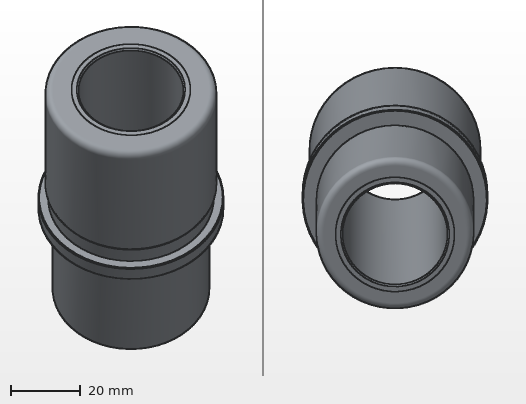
import cadquery as cq
import math

total_height = 90.0
flange_bottom = 37.0
flange_top = 42.0
neck_top = 47.0

upper_radius = 24.5
neck_radius = 23.75
flange_radius = 26.5
lower_radius = 22.5
end_round = 2.0
flange_chamfer = 0.3

neck_taper_height = 1.25

relief_depth = 0.8
relief_height = 2.0

liner_radius = 17.0
bore_radius = 15.0
bore_lead_in = 0.5

lube_hole_diameter = 8.5
lube_hole_height = 60.0


def make_housing():
    """Stepped, flanged bush turned about Z, with the lubrication hole drilled in."""
    relief_radius = lower_radius - relief_depth
    relief_bottom = flange_bottom - relief_height
    arc_radius = (relief_depth**2 + relief_height**2) / (2 * relief_depth)
    arc_mid_angle = math.asin(relief_height / arc_radius) / 2
    arc_mid = (
        relief_radius + arc_radius * (1 - math.cos(arc_mid_angle)),
        flange_bottom - arc_radius * math.sin(arc_mid_angle),
    )
    profile = (
        cq.Workplane("XZ")
        .moveTo(liner_radius, 0)
        .lineTo(lower_radius - end_round, 0)
        .radiusArc((lower_radius, end_round), -end_round)
        .lineTo(lower_radius, relief_bottom)
        .threePointArc(arc_mid, (relief_radius, flange_bottom))
        .lineTo(flange_radius - flange_chamfer, flange_bottom)
        .lineTo(flange_radius, flange_bottom + flange_chamfer)
        .lineTo(flange_radius, flange_top - flange_chamfer)
        .lineTo(flange_radius - flange_chamfer, flange_top)
        .lineTo(neck_radius, flange_top)
        .lineTo(neck_radius, neck_top)
        .lineTo(upper_radius, neck_top + neck_taper_height)
        .lineTo(upper_radius, total_height - end_round)
        .radiusArc((upper_radius - end_round, total_height), -end_round)
        .lineTo(liner_radius, total_height)
        .close()
    )
    turned = profile.revolve(360, (0, 0, 0), (0, 1, 0))

    lube_hole = (
        cq.Workplane("XZ")
        .center(0, lube_hole_height)
        .circle(lube_hole_diameter / 2)
        .extrude(-flange_radius)
    )
    return turned.cut(lube_hole)


def make_liner():
    """Plain sleeve filling the housing, with a chamfered lead-in at each end of its bore."""
    mouth_radius = bore_radius + bore_lead_in
    return (
        cq.Workplane("XZ")
        .moveTo(mouth_radius, 0)
        .lineTo(liner_radius, 0)
        .lineTo(liner_radius, total_height)
        .lineTo(mouth_radius, total_height)
        .lineTo(bore_radius, total_height - bore_lead_in)
        .lineTo(bore_radius, bore_lead_in)
        .close()
        .revolve(360, (0, 0, 0), (0, 1, 0))
    )


housing = make_housing()
liner = make_liner()

result = cq.Compound.makeCompound([housing.val(), liner.val()])